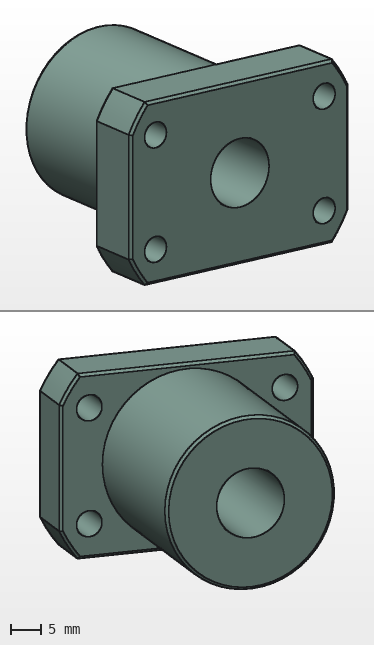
import cadquery as cq
import math

barrel_diameter = 30.0
barrel_length = 30.0
bore_diameter = 12.0

flange_thickness = 10.0
flange_width = 45.0
flange_height = 32.0
flange_disc_diameter = 50.0

bolt_circle_diameter = 40.0
bolt_hole_diameter = 4.5
bolt_angle = 30.0

edge_chamfer = 0.5
total_length = barrel_length + flange_thickness


def cross_section(x):
    """Workplane across the axis at x: local x is +Y, local y is +Z, normal is +X."""
    return cq.Workplane("YZ", origin=(x, 0, 0))


def make_barrel():
    barrel = cross_section(0).circle(barrel_diameter / 2).extrude(total_length)
    return barrel.faces("<X").edges().chamfer(edge_chamfer)


def make_flange():
    disc = cross_section(barrel_length).circle(flange_disc_diameter / 2).extrude(flange_thickness)
    block = cross_section(barrel_length).rect(flange_width, flange_height).extrude(flange_thickness)
    flange = disc.intersect(block)
    return flange.faces("<X or >X").edges().chamfer(edge_chamfer)


def bolt_positions():
    bolt_y = bolt_circle_diameter / 2 * math.cos(math.radians(bolt_angle))
    bolt_z = bolt_circle_diameter / 2 * math.sin(math.radians(bolt_angle))
    return [(side_y * bolt_y, side_z * bolt_z) for side_y in (-1, 1) for side_z in (-1, 1)]


def make_bore():
    return cross_section(0).circle(bore_diameter / 2).extrude(total_length)


def make_bolt_holes():
    centres = cross_section(barrel_length).pushPoints(bolt_positions())
    return centres.circle(bolt_hole_diameter / 2).extrude(flange_thickness)


result = make_barrel().union(make_flange()).cut(make_bore()).cut(make_bolt_holes())